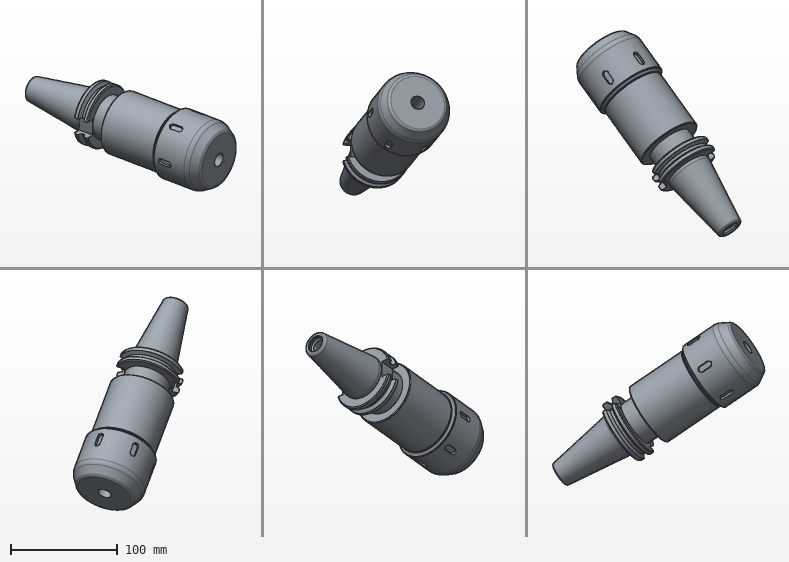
import cadquery as cq
import math

total_length = 218.3
through_bore_d = 13.0

neck_d = 44.5
gauge_x = 68.0
taper_rate = 7 / 24
shank_end_fillet = 2.0

pilot_d = 16.8
pilot_depth = 1.7
recess_d = 16.4
recess_depth = 4.0

flange_x = 71.4
flange_d = 63.5
flange_width = 16.0
flange_chamfer = 1.0
groove_x = 79.5
groove_bottom_width = 2.8
groove_depth = 3.7
groove_wall_angle = 30.0
drive_slot_width = 17.2
drive_slot_floor_front = 22.7
drive_slot_floor_back = 24.5

body_x = 103.2
body_d = 63.0
body_chamfer = 0.9
joint_x = 165.0
joint_chamfer = 0.7

nut_d = 70.0
nut_shoulder_x = 167.8
nut_edge_chamfer = 0.7
collar_fillet = 1.3
nose_round_x = 203.5
nose_round_r = 10.5
nose_angle = 30.0
nose_edge_r = 3.3

wrench_slot_count = 6
wrench_slot_x = 181.2
wrench_slot_length = 14.5
wrench_slot_width = 6.0
wrench_slot_depth = 2.8


def revolve_about_x(outline):
    """Turn a closed outline, drawn as (X, radius), about the X axis."""
    return outline.close().revolve(360, (0, 0, 0), (1, 0, 0))


def cylinder_along_x(diameter, start_x, end_x):
    return cq.Workplane("YZ", origin=(start_x, 0, 0)).circle(diameter / 2).extrude(end_x - start_x)


def shank_and_body():
    """Taper, neck and main cylinder as one turned blank."""
    neck_r = neck_d / 2
    body_r = body_d / 2
    small_end_r = neck_r - gauge_x * taper_rate / 2
    outline = (
        cq.Workplane("XY")
        .moveTo(0, 0)
        .lineTo(0, small_end_r)
        .lineTo(gauge_x, neck_r)
        .lineTo(body_x, neck_r)
        .lineTo(body_x, body_r - body_chamfer)
        .lineTo(body_x + body_chamfer, body_r)
        .lineTo(joint_x - joint_chamfer, body_r)
        .lineTo(joint_x, body_r - joint_chamfer)
        .lineTo(joint_x, 0)
    )
    return revolve_about_x(outline).faces("<X").edges().fillet(shank_end_fillet)


def flange():
    disc = cylinder_along_x(flange_d, flange_x, flange_x + flange_width).edges().chamfer(flange_chamfer)
    front_slot = drive_slot(-1, drive_slot_floor_front)
    back_slot = drive_slot(1, drive_slot_floor_back)
    return disc.cut(flange_groove()).cut(front_slot).cut(back_slot)


def flange_groove():
    """Ring with a V section that is removed from the rim of the flange."""
    rim_r = flange_d / 2
    bottom_r = rim_r - groove_depth
    half_bottom = groove_bottom_width / 2
    half_top = half_bottom + groove_depth * math.tan(math.radians(groove_wall_angle))
    outline = (
        cq.Workplane("XY")
        .moveTo(groove_x - half_bottom, bottom_r)
        .lineTo(groove_x - half_top, rim_r)
        .lineTo(groove_x + half_top, rim_r)
        .lineTo(groove_x + half_bottom, bottom_r)
    )
    return revolve_about_x(outline)


def drive_slot(side, floor_distance):
    """Block that cuts one slot across the flange rim; side is -1 for -Y and 1 for +Y."""
    depth = flange_d / 2 - floor_distance
    return cq.Workplane("XY").box(flange_width, depth, drive_slot_width).translate(
        (flange_x + flange_width / 2, side * (floor_distance + depth / 2), 0)
    )


def bore_mouth():
    """Pilot and recess at the small end, ending in a 45 degree cone."""
    bore_r = through_bore_d / 2
    recess_r = recess_d / 2
    cone_end_x = recess_depth + recess_r - bore_r
    outline = (
        cq.Workplane("XY")
        .moveTo(0, 0)
        .lineTo(0, pilot_d / 2)
        .lineTo(pilot_depth, pilot_d / 2)
        .lineTo(pilot_depth, recess_r)
        .lineTo(recess_depth, recess_r)
        .lineTo(cone_end_x, bore_r)
        .lineTo(cone_end_x, 0)
    )
    return revolve_about_x(outline)


def make_holder():
    blank = shank_and_body().union(flange())
    return blank.cut(bore_mouth()).cut(cylinder_along_x(through_bore_d, 0, joint_x))


def nut_blank():
    """Turned nut: chamfered collar, shoulder, cylinder and a rounded conical nose."""
    nut_r = nut_d / 2
    collar_r = body_d / 2
    angle = math.radians(nose_angle)
    arc_middle = angle / 2
    fillet_mid_offset = collar_fillet * (1 - math.cos(math.radians(45)))
    cone_x = nose_round_x + nose_round_r * math.sin(angle)
    cone_r = nut_r - nose_round_r * (1 - math.cos(angle))
    tip_r = cone_r - (total_length - cone_x) * math.tan(angle)
    outline = (
        cq.Workplane("XY")
        .moveTo(joint_x, 0)
        .lineTo(joint_x, collar_r - joint_chamfer)
        .lineTo(joint_x + joint_chamfer, collar_r)
        .lineTo(nut_shoulder_x - collar_fillet, collar_r)
        .threePointArc(
            (nut_shoulder_x - fillet_mid_offset, collar_r + fillet_mid_offset),
            (nut_shoulder_x, collar_r + collar_fillet),
        )
        .lineTo(nut_shoulder_x, nut_r - nut_edge_chamfer)
        .lineTo(nut_shoulder_x + nut_edge_chamfer, nut_r)
        .lineTo(nose_round_x, nut_r)
        .threePointArc(
            (
                nose_round_x + nose_round_r * math.sin(arc_middle),
                nut_r - nose_round_r * (1 - math.cos(arc_middle)),
            ),
            (cone_x, cone_r),
        )
        .lineTo(total_length, tip_r)
        .lineTo(total_length, 0)
    )
    return revolve_about_x(outline).faces(">X").edges().fillet(nose_edge_r)


def wrench_slot(angle):
    """Round-ended pocket cutter, turned about the X axis from the -Y side."""
    floor_distance = nut_d / 2 - wrench_slot_depth
    cutter = (
        cq.Workplane("XZ", origin=(wrench_slot_x, -floor_distance, 0))
        .slot2D(wrench_slot_length, wrench_slot_width)
        .extrude(wrench_slot_depth)
    )
    return cutter.rotate((0, 0, 0), (1, 0, 0), angle)


def make_nut():
    nut = nut_blank()
    for index in range(wrench_slot_count):
        nut = nut.cut(wrench_slot(index * 360 / wrench_slot_count))
    return nut.cut(cylinder_along_x(through_bore_d, joint_x, total_length))


holder = make_holder()
nut = make_nut()

result = cq.Compound.makeCompound([holder.val(), nut.val()])